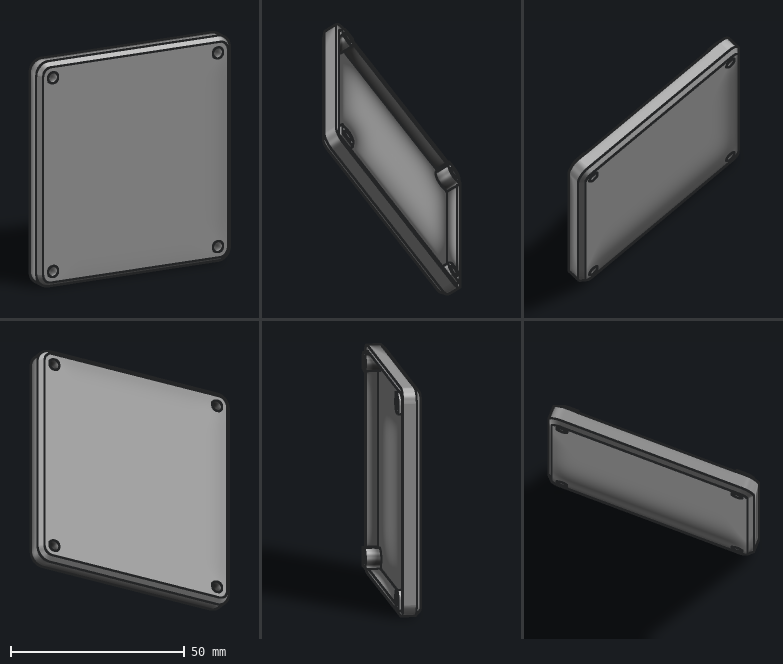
import cadquery as cq
import math

thickness = 6.5
width = 63.7
height = 67.6

boss_rise = 1.0
rim_width = 1.7
cavity_depth = 3.5
outer_corner_radius = 4.0
cavity_corner_radius = 3.0
back_chamfer = 1.5

hole_diameter = 3.3
hole_inset = 4.7
boss_radius = 2.85
boss_flat = 2.8
lower_corner_radius = 0.5
flare_radius = 1.0

body_depth = thickness - boss_rise
boss_length = boss_rise + cavity_depth
overlap = 0.35

rim_plane = cq.Workplane("YZ", origin=(boss_rise, 0, 0))
boss_plane = cq.Workplane("YZ")


def make_tray():
    """Rounded plate, chamfered at the back and hollowed from the rim."""
    plate = rim_plane.rect(width, height).extrude(body_depth)
    plate = plate.edges("|X").fillet(outer_corner_radius)
    plate = plate.faces(">X").edges().chamfer(back_chamfer)
    cavity = rim_plane.rect(width - 2 * rim_width, height - 2 * rim_width).extrude(cavity_depth)
    cavity = cavity.edges("|X and >Z").fillet(cavity_corner_radius)
    return plate.cut(cavity)


def make_flare(length):
    """Concave blend, tangent to the boss circle and the cavity wall, cut short at the +Y flat."""
    center_y = hole_inset - rim_width - flare_radius
    center_z = -math.sqrt((boss_radius + flare_radius) ** 2 - center_y**2)
    wedge = [(0, 0), (boss_flat, 0), (boss_flat, center_z), (center_y, center_z)]
    relief = boss_plane.center(center_y, center_z).circle(flare_radius).extrude(length)
    return boss_plane.polyline(wedge).close().extrude(length).cut(relief)


def make_boss(corner_radius, flared):
    """Boss on the X axis whose outer corner points toward +Y and +Z."""
    length = boss_length + overlap
    block_size = boss_flat + boss_radius
    block_center = (boss_flat - boss_radius) / 2
    block = boss_plane.center(block_center, block_center).rect(block_size, block_size).extrude(length)
    block = block.edges("|X and >Y and >Z").fillet(corner_radius)
    corner = boss_plane.rect(boss_radius, boss_radius, centered=False).extrude(length)
    boss = boss_plane.circle(boss_radius).extrude(length).union(corner).intersect(block)
    if flared:
        flare = make_flare(length)
        diagonal_twin = flare.mirror("XZ").rotate((0, 0, 0), (1, 0, 0), -90)
        boss = boss.union(flare).union(diagonal_twin)
    return boss


result = make_tray()
for side_y in (-1, 1):
    for side_z in (-1, 1):
        is_upper = side_z > 0
        flared = is_upper or side_y > 0
        boss = make_boss(boss_flat if is_upper else lower_corner_radius, flared)
        if side_y < 0:
            boss = boss.mirror("XZ")
        if side_z < 0:
            boss = boss.mirror("XY")
        axis_y = side_y * (width / 2 - hole_inset)
        axis_z = side_z * (height / 2 - hole_inset)
        hole = boss_plane.center(axis_y, axis_z).circle(hole_diameter / 2).extrude(thickness)
        result = result.union(boss.translate((0, axis_y, axis_z))).cut(hole)